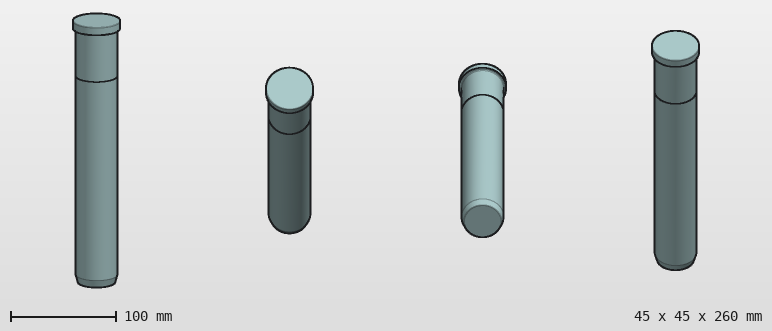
import cadquery as cq

total_length = 260.0
head_diameter = 45.0
shaft_diameter = 40.0
head_thickness = 8.0
upper_length = 55.0

tip_diameter = 35.5
tip_length = 8.0

head_rim_fillet = 0.5
neck_fillet = 0.8
tip_rim_fillet = 0.5

head_radius = head_diameter / 2
shaft_radius = shaft_diameter / 2
tip_radius = tip_diameter / 2
joint_height = total_length - upper_length
corner_reach = (shaft_radius + head_radius) / 2
head_underside = total_length - head_thickness


def make_headed_collar():
    """Upper body: a collar topped by a wider flat head, with a small fillet under the head."""
    collar = (
        cq.Workplane("XY", origin=(0, 0, joint_height))
        .circle(shaft_radius)
        .extrude(upper_length - head_thickness)
    )
    head = (
        cq.Workplane("XY", origin=(0, 0, head_underside))
        .circle(head_radius)
        .extrude(head_thickness)
    )
    neck_corner = cq.selectors.BoxSelector(
        (-corner_reach, -corner_reach, head_underside - neck_fillet),
        (corner_reach, corner_reach, head_underside + neck_fillet),
        boundingbox=True,
    )
    body = collar.union(head)
    body = body.edges(neck_corner).fillet(neck_fillet)
    return body.faces(">Z").edges().fillet(head_rim_fillet)


def make_shaft():
    """Lower body: a long round shaft that tapers to a flat tip."""
    shaft_body = (
        cq.Workplane("XZ")
        .lineTo(tip_radius, 0)
        .lineTo(shaft_radius, tip_length)
        .lineTo(shaft_radius, joint_height)
        .lineTo(0, joint_height)
        .close()
        .revolve(360, (0, 0), (0, 1))
    )
    return shaft_body.faces("<Z").edges().fillet(tip_rim_fillet)


headed_collar = make_headed_collar()
shaft = make_shaft()

result = cq.Compound.makeCompound([headed_collar.val(), shaft.val()])